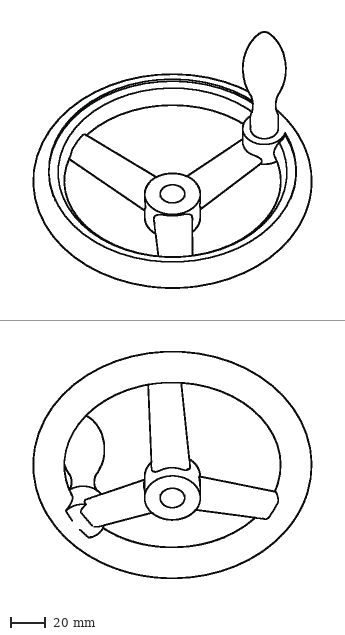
import cadquery as cq
import math

hub_radius = 16.0
hub_height = 20.2
bore_radius = 7.0

wheel_radius = 80.0
rim_top = 40.0
rim_section_radius = 9.0
ledge_depth = 1.8
rim_radius = wheel_radius - rim_section_radius
rim_center_z = rim_top - rim_section_radius
ledge_z = rim_top - ledge_depth

spoke_count = 3
spoke_flat_width = 11.2
spoke_hub_thickness = 11.0
spoke_rim_thickness = 7.4
spoke_start_radius = 12.0
spoke_start_z = 12.2
handle_spoke_angle = 90.0

handle_y = wheel_radius - 2 * rim_section_radius
boss_radius = 12.5
boss_top = rim_top
boss_bottom = 23.0
handle_top = 120.0
shank_radius = 8.0
shank_top = 50.0
neck_radius = 6.5
neck_z = 59.7
grip_start_radius = 8.3
grip_start_z = 71.4
grip_radius = 12.5
grip_widest_z = 91.2
tip_radius = 4.2
tip_start_z = 117.6


def make_hub():
    return cq.Workplane("XY").circle(hub_radius).extrude(hub_height)


def make_rim():
    ring = (
        cq.Workplane("XZ")
        .center(rim_radius, rim_center_z)
        .circle(rim_section_radius)
        .revolve(360, (-rim_radius, 0), (-rim_radius, 1))
    )
    ledge = cq.Workplane("XY").workplane(offset=ledge_z).circle(rim_radius).extrude(ledge_depth)
    return ring.cut(ledge)


def make_spoke(angle):
    run = rim_radius - spoke_start_radius
    rise = rim_center_z - spoke_start_z
    section_plane = cq.Plane(
        origin=(spoke_start_radius, 0, spoke_start_z),
        xDir=(0, 1, 0),
        normal=(run, 0, rise),
    )
    spoke = (
        cq.Workplane(section_plane)
        .slot2D(spoke_flat_width + spoke_hub_thickness, spoke_hub_thickness)
        .workplane(offset=math.hypot(run, rise))
        .slot2D(spoke_flat_width + spoke_rim_thickness, spoke_rim_thickness)
        .loft(ruled=True)
    )
    return spoke.rotate((0, 0, 0), (0, 0, 1), angle)


def make_boss():
    height = boss_top - boss_bottom
    boss = cq.Workplane("XY", origin=(0, handle_y, boss_bottom)).circle(boss_radius).extrude(height)
    inside_crest = cq.Workplane("XY", origin=(0, 0, boss_bottom)).circle(rim_radius).extrude(height)
    return boss.intersect(inside_crest)


def neck_arc_middle(end_radius, end_z):
    """Middle point of the flare that leaves the neck parallel to the handle axis."""
    flare = end_radius - neck_radius
    length = end_z - neck_z
    arc_radius = (flare**2 + length**2) / (2 * flare)
    half_angle = math.asin(length / arc_radius) / 2
    return (
        neck_radius + arc_radius * (1 - math.cos(half_angle)),
        neck_z + arc_radius * math.sin(half_angle),
    )


def make_handle():
    tip_height = handle_top - tip_start_z
    dome_radius = (tip_radius**2 + tip_height**2) / (2 * tip_height)
    dome_half_angle = math.asin(tip_radius / dome_radius) / 2
    dome_middle = (
        dome_radius * math.sin(dome_half_angle),
        handle_top - dome_radius * (1 - math.cos(dome_half_angle)),
    )
    return (
        cq.Workplane("XZ", origin=(0, handle_y, 0))
        .moveTo(0, rim_center_z)
        .lineTo(shank_radius, rim_center_z)
        .lineTo(shank_radius, shank_top)
        .threePointArc(neck_arc_middle(shank_radius, shank_top), (neck_radius, neck_z))
        .threePointArc(neck_arc_middle(grip_start_radius, grip_start_z), (grip_start_radius, grip_start_z))
        .threePointArc((grip_radius, grip_widest_z), (tip_radius, tip_start_z))
        .threePointArc(dome_middle, (0, handle_top))
        .close()
        .revolve(360, (0, 0), (0, 1))
    )


result = make_hub().union(make_rim())
for index in range(spoke_count):
    result = result.union(make_spoke(handle_spoke_angle + index * 360 / spoke_count))
result = result.union(make_boss()).union(make_handle())

bore = cq.Workplane("XY").circle(bore_radius).extrude(hub_height)
result = result.cut(bore)